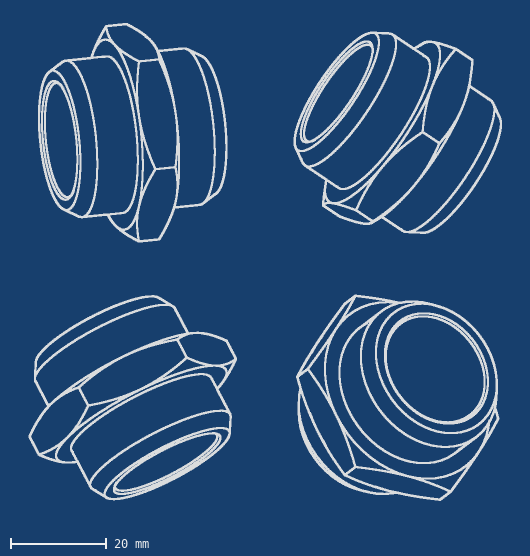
import cadquery as cq
import math

corner_width = 46.2
flat_width = corner_width * math.cos(math.radians(30))
total_length = 32.0
hex_thickness = 8.0
body_diameter = 33.0
body_chamfer_length = 3.15
bore_diameter = 24.0
bore_mouth_diameter = 25.0
chamfer_angle = 30.0

slope = math.tan(math.radians(chamfer_angle))
half_length = total_length / 2
half_hex = hex_thickness / 2


def revolve_profile(points):
    """Revolve a closed (radius, axial position) outline about the Y axis."""
    return cq.Workplane("XY").polyline(points).close().revolve(360, (0, 0, 0), (0, 1, 0))


def make_body():
    """Cylinder with a conical chamfer at both ends."""
    radius = body_diameter / 2
    end_radius = radius - body_chamfer_length * slope
    shoulder = half_length - body_chamfer_length
    return revolve_profile([
        (0, -half_length),
        (end_radius, -half_length),
        (radius, -shoulder),
        (radius, shoulder),
        (end_radius, half_length),
        (0, half_length),
    ])


def make_hexagon():
    """Wrench hexagon with corners on +X and -X, its corners turned down on both faces."""
    hexagon = cq.Workplane("XZ").polygon(6, corner_width).extrude(half_hex, both=True)
    face_radius = flat_width / 2
    corner_radius = corner_width / 2
    corner_half_height = half_hex - (corner_radius - face_radius) * slope
    turning_envelope = revolve_profile([
        (0, -half_hex),
        (face_radius, -half_hex),
        (corner_radius, -corner_half_height),
        (corner_radius, corner_half_height),
        (face_radius, half_hex),
        (0, half_hex),
    ])
    return hexagon.intersect(turning_envelope)


def make_bore():
    """Through bore with a 45 degree chamfer at both mouths."""
    radius = bore_diameter / 2
    mouth_radius = bore_mouth_diameter / 2
    chamfer_start = half_length - (mouth_radius - radius)
    return revolve_profile([
        (0, -half_length),
        (mouth_radius, -half_length),
        (radius, -chamfer_start),
        (radius, chamfer_start),
        (mouth_radius, half_length),
        (0, half_length),
    ])


result = make_body().union(make_hexagon()).cut(make_bore())